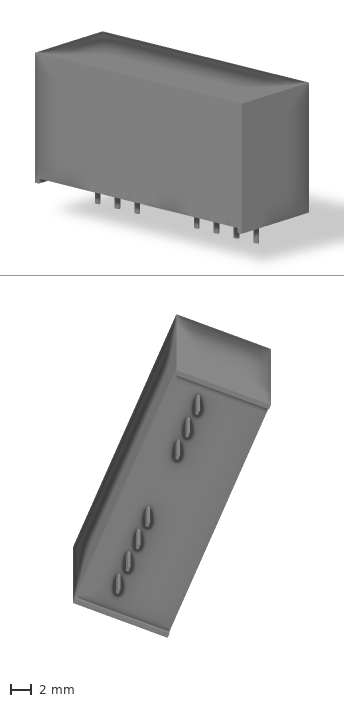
import cadquery as cq

length = 26.5
depth = 9.8
housing_height = 13.0
foot_width = 0.5
foot_height = 0.5

overall_height = 16.2
pin_width = 0.5
pin_thickness = 0.26
pin_pitch = 2.55
pin_positions = [0, 1, 2, 5, 6, 7, 8]
first_pin_x = 2.05
pin_row_y = 6.78

marker_diameter = 1.0
marker_thickness = 0.1
marker_z = 1.5

channel_length = length - 2 * foot_width
pin_bottom_z = housing_height - overall_height
pin_length = foot_height - pin_bottom_z


def make_marker():
    """Disc whose outer face is flush with the front of the housing."""
    return (
        cq.Workplane("XZ", origin=(first_pin_x, 0, marker_z))
        .circle(marker_diameter / 2)
        .extrude(-marker_thickness)
    )


def make_housing(marker):
    """Block with the underside channel and the recess that holds the marker."""
    block = cq.Workplane("XY").box(length, depth, housing_height, centered=False)
    channel = (
        cq.Workplane("XY", origin=(foot_width, 0, 0))
        .box(channel_length, depth, foot_height, centered=False)
    )
    return block.cut(channel).cut(marker)


def make_pin(position):
    """Straight pin that ends against the roof of the channel."""
    pin_x = first_pin_x + position * pin_pitch
    return (
        cq.Workplane("XY", origin=(pin_x, pin_row_y, pin_bottom_z))
        .rect(pin_width, pin_thickness)
        .extrude(pin_length)
    )


marker = make_marker()
housing = make_housing(marker)
pins = [make_pin(position) for position in pin_positions]

result = cq.Compound.makeCompound([housing.val(), marker.val(), *[pin.val() for pin in pins]])